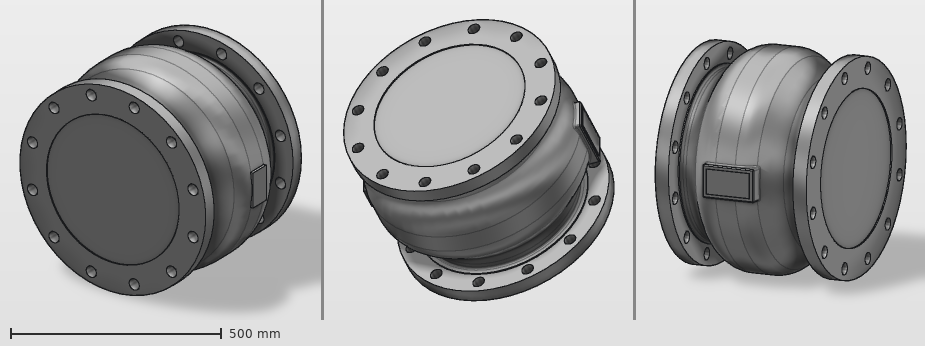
import cadquery as cq
import math

length = 400.0
end_y = length / 2

flange_radius = 268.0
flange_thickness = 35.5
flange_inner_y = end_y - flange_thickness
bolt_circle_radius = 239.5
bolt_hole_diameter = 29.0
bolt_count = 12
recess_radius = 191.0
recess_depth = 3.5

collar_radius = 216.0
collar_thickness = 3.5
collar_y = flange_inner_y - collar_thickness
neck_fillet = 5.5

crown_radius = 273.0
back_neck_radius = 208.0
front_neck_radius = 200.0
back_neck_y = 147.5
crease_y = 114.0
crease_radius = 226.5
crown_back_y = 38.5
crown_front_y = -13.0
cone_back_y = -62.0
cone_front_y = -112.0
cone_angle = math.radians(40.5)

block_length = 134.5
block_height = 81.0
block_face_x = -282.0
block_root_x = -224.5
block_corner_radius = 4.0
block_edge_chamfer = 3.0
block_root_fillet = 4.5
plate_length = 114.0
plate_height = 61.0
plate_face_x = -284.5

pad_length = 55.0
pad_height = 92.0
pad_face_x = 276.5
pad_root_x = 252.5
pad_center_y = (crown_back_y + crown_front_y) / 2


def arc_midpoint(tangent_point, far_point):
    """Middle of an arc that runs parallel to the Y axis at tangent_point and ends at far_point."""
    rise = far_point[0] - tangent_point[0]
    run = far_point[1] - tangent_point[1]
    radius = (rise**2 + run**2) / (2 * abs(rise))
    half_angle = math.asin(abs(run) / radius) / 2
    mid_rise = math.copysign(radius * (1 - math.cos(half_angle)), rise)
    mid_run = math.copysign(radius * math.sin(half_angle), run)
    return (tangent_point[0] + mid_rise, tangent_point[1] + mid_run)


def fillet_midpoint(neck_radius, side):
    """Middle of the quarter round between a neck and its collar; side is +1 back, -1 front."""
    inset = neck_fillet * (1 - math.sqrt(0.5))
    return (neck_radius + inset, side * (collar_y - inset))


def make_body():
    crown_to_cone = (crown_front_y - cone_back_y) * math.tan(cone_angle / 2)
    cone_drop = (cone_back_y - cone_front_y) * math.tan(cone_angle)

    back_neck = (back_neck_radius, back_neck_y)
    crease = (crease_radius, crease_y)
    crown_back = (crown_radius, crown_back_y)
    crown_front = (crown_radius, crown_front_y)
    cone_back = (crown_radius - crown_to_cone, cone_back_y)
    cone_front = (cone_back[0] - cone_drop, cone_front_y)
    front_neck_rise = cone_front[0] - front_neck_radius
    front_neck_y = cone_front_y - front_neck_rise / math.tan(cone_angle / 2)
    front_neck = (front_neck_radius, front_neck_y)

    profile = (
        cq.Workplane("XY")
        .moveTo(0, end_y)
        .lineTo(flange_radius, end_y)
        .lineTo(flange_radius, flange_inner_y)
        .lineTo(collar_radius, flange_inner_y)
        .lineTo(collar_radius, collar_y)
        .lineTo(back_neck_radius + neck_fillet, collar_y)
        .threePointArc(fillet_midpoint(back_neck_radius, 1), (back_neck_radius, collar_y - neck_fillet))
        .lineTo(*back_neck)
        .threePointArc(arc_midpoint(back_neck, crease), crease)
        .threePointArc(arc_midpoint(crown_back, crease), crown_back)
        .lineTo(*crown_front)
        .threePointArc(arc_midpoint(crown_front, cone_back), cone_back)
        .lineTo(*cone_front)
        .threePointArc(arc_midpoint(front_neck, cone_front), front_neck)
        .lineTo(front_neck_radius, neck_fillet - collar_y)
        .threePointArc(fillet_midpoint(front_neck_radius, -1), (front_neck_radius + neck_fillet, -collar_y))
        .lineTo(collar_radius, -collar_y)
        .lineTo(collar_radius, -flange_inner_y)
        .lineTo(flange_radius, -flange_inner_y)
        .lineTo(flange_radius, -end_y)
        .lineTo(0, -end_y)
        .close()
    )
    return profile.revolve(360, (0, 0, 0), (0, 1, 0))


def box_between(x_start, x_end, size_y, size_z, center_y=0):
    size_x = abs(x_end - x_start)
    center_x = (x_start + x_end) / 2
    return cq.Workplane("XY").box(size_x, size_y, size_z).translate((center_x, center_y, 0))


def add_nameplate_block(body):
    block = box_between(block_face_x, block_root_x, block_length, block_height)
    block = block.edges("|X").fillet(block_corner_radius)
    block = block.faces("<X").chamfer(block_edge_chamfer)
    joined = body.union(block)

    reach_y = block_length + block_root_fillet
    reach_z = block_height + block_root_fillet
    root_zone = cq.selectors.BoxSelector(
        (block_face_x + block_edge_chamfer + block_corner_radius, -reach_y / 2, -reach_z / 2),
        (block_root_x, reach_y / 2, reach_z / 2),
        boundingbox=True,
    )
    joined = joined.edges(root_zone).edges("not |X").fillet(block_root_fillet)

    plate = box_between(plate_face_x, block_face_x, plate_length, plate_height)
    return joined.union(plate)


def drill_flanges(body):
    bolt_holes = (
        cq.Workplane("XZ", origin=(0, end_y, 0))
        .polarArray(bolt_circle_radius, 180 / bolt_count, 360, bolt_count)
        .circle(bolt_hole_diameter / 2)
    )
    near_holes = bolt_holes.extrude(flange_thickness)
    return body.cut(near_holes).cut(near_holes.mirror("XZ"))


def recess_ends(body):
    recess = cq.Workplane("XZ", origin=(0, end_y, 0)).circle(recess_radius).extrude(recess_depth)
    return body.cut(recess).cut(recess.mirror("XZ"))


result = make_body()
result = add_nameplate_block(result)
result = result.union(box_between(pad_root_x, pad_face_x, pad_length, pad_height, pad_center_y))
result = drill_flanges(result)
result = recess_ends(result)